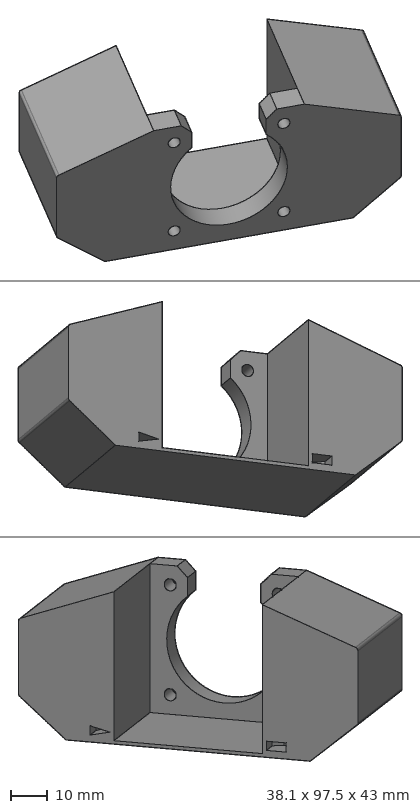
import cadquery as cq
import math

length = 38.1
width = 97.5
height = 43.0

wing_top_slope = 20.0
wing_bottom_slope = 40.0
bottom_width = 70.1
wing_edge_radius = 1.0

bay_width = 42.6
floor_thickness = 1.0
plate_thickness = 7.1

motor_axis_z = 22.0
bore_diameter = 33.0
neck_width = 21.0
neck_chamfer = 3.0
screw_spacing = 31.0
screw_diameter = 3.4

pocket_offset = 25.3
pocket_width = 5.65
pocket_height = 2.6
pocket_axis_z = 3.3
pocket_side_depth = 5.0
pocket_end_angle = 30.0

overcut = 1.0


def make_body():
    """Wide block with sloped wings, rounded along the outermost edges."""
    half_width = width / 2
    half_bay = bay_width / 2
    half_bottom = bottom_width / 2
    top_drop = (half_width - half_bay) * math.tan(math.radians(wing_top_slope))
    bottom_rise = (half_width - half_bottom) * math.tan(math.radians(wing_bottom_slope))
    outline = [
        (-half_bottom, 0),
        (half_bottom, 0),
        (half_width, bottom_rise),
        (half_width, height - top_drop),
        (half_bay, height),
        (-half_bay, height),
        (-half_width, height - top_drop),
        (-half_width, bottom_rise),
    ]
    body = cq.Workplane("YZ").polyline(outline).close().extrude(length)
    for side_face in ("<Y", ">Y"):
        body = body.faces(side_face).edges("|X").fillet(wing_edge_radius)
    return body


def make_bay():
    """Space for the motor, in front of the plate and above the floor."""
    return cq.Workplane("XY").box(
        length - plate_thickness + overcut,
        bay_width,
        height - floor_thickness + overcut,
        centered=(False, True, False),
    ).translate((-overcut, 0, floor_thickness))


def make_bore():
    """Round opening in the plate with a chamfered neck up to the top edge."""
    half_neck = neck_width / 2
    half_mouth = half_neck + neck_chamfer
    bore = cq.Workplane("YZ").center(0, motor_axis_z).circle(bore_diameter / 2).extrude(length)
    neck_outline = [
        (-half_neck, motor_axis_z),
        (half_neck, motor_axis_z),
        (half_neck, height - neck_chamfer),
        (half_mouth, height),
        (-half_mouth, height),
        (-half_neck, height - neck_chamfer),
    ]
    neck = cq.Workplane("YZ").polyline(neck_outline).close().extrude(length)
    return bore.union(neck)


def make_screw_holes():
    """Four motor screw holes on a square around the motor axis."""
    return (
        cq.Workplane("YZ")
        .center(0, motor_axis_z)
        .rect(screw_spacing, screw_spacing, forConstruction=True)
        .vertices()
        .circle(screw_diameter / 2)
        .extrude(length)
    )


def make_vee_pocket(center_y):
    """Rectangular pocket whose rear end comes to a vertical vee edge."""
    half_width = pocket_width / 2
    tip_depth = pocket_side_depth + half_width * math.tan(math.radians(pocket_end_angle))
    plan = [
        (0, center_y - half_width),
        (pocket_side_depth, center_y - half_width),
        (tip_depth, center_y),
        (pocket_side_depth, center_y + half_width),
        (0, center_y + half_width),
    ]
    return (
        cq.Workplane("XY")
        .workplane(offset=pocket_axis_z - pocket_height / 2)
        .polyline(plan)
        .close()
        .extrude(pocket_height)
    )


def make_arrow_pocket(center_y):
    """Vee pocket narrowed to a triangular opening that points at the bay."""
    half_width = pocket_width / 2
    half_height = pocket_height / 2
    opening = [
        (center_y + half_width, pocket_axis_z - half_height),
        (center_y + half_width, pocket_axis_z + half_height),
        (center_y - half_width, pocket_axis_z),
    ]
    triangle = cq.Workplane("YZ").polyline(opening).close().extrude(length)
    return triangle.intersect(make_vee_pocket(center_y))


result = (
    make_body()
    .cut(make_bay())
    .cut(make_bore())
    .cut(make_screw_holes())
    .cut(make_vee_pocket(-pocket_offset))
    .cut(make_arrow_pocket(pocket_offset))
)